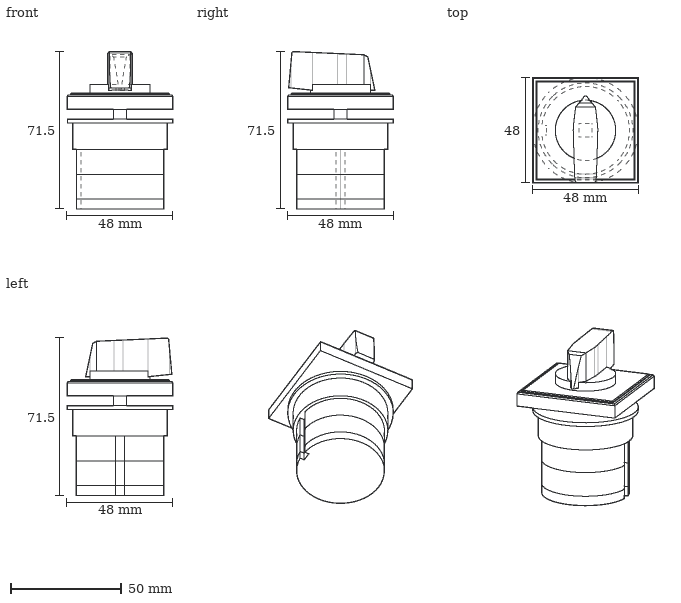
import cadquery as cq
import math

END_STAGE_TOP = 4.5
STAGE_HEIGHT = 11.3
STAGE_COUNT = 2
COLLAR_BOTTOM = END_STAGE_TOP + STAGE_COUNT * STAGE_HEIGHT
COLLAR_TOP = 39.05
FLANGE_TOP = 40.8
FRAME_BOTTOM = 45.3
FRAME_TOP = 51.9
PLATE_TOP = 52.6
DISC_TOP = 56.6
KNOB_TOP = 71.5

STAGE_RADIUS = 19.95
SLOT_WIDTH = 4.3
SLOT_FLOOR_X = -17.7
COLLAR_RADIUS = 21.5
SHAFT_SIDE = 6.1

FRAME_SIDE = 48.0
FRAME_BEVEL_IN = 0.35
FRAME_BEVEL_DOWN = 0.7
PLATE_SIDE = 44.9
PLATE_BEVEL = 0.4

DISC_RADIUS = 13.7
TIP_Y = 16.2
TIP_ROOT_HALF_WIDTH = 1.9
TIP_ROOT_Y = math.sqrt(DISC_RADIUS**2 - TIP_ROOT_HALF_WIDTH**2)
SHOULDER_Y = 10.6
SHOULDER_HALF_WIDTH = 4.5
BULGE_FRONT_Y = 2.65
BULGE_FRONT_HALF_WIDTH = 5.4
BULGE_MIDDLE_Y = 0.0
BULGE_MIDDLE_HALF_WIDTH = 5.6
BULGE_BACK_Y = -1.4
BULGE_BACK_HALF_WIDTH = 5.5
TAIL_START_HALF_WIDTH = 5.2
TAIL_START_Y = -math.sqrt(DISC_RADIUS**2 - TAIL_START_HALF_WIDTH**2)
TAIL_END_Y = -23.8
TAIL_END_HALF_WIDTH = 4.8
TAIL_CORNER_RADIUS = 1.4

POINTER_BOTTOM_Y = 15.65
POINTER_TOP_Y = 12.45
POINTER_TOP_Z = 69.15
CROWN_FRONT_Z = 70.15
CROWN_FLAT_Y = -19.8
BACK_TOP_Y = -22.1
BACK_BOTTOM_Y = -23.6
BACK_BOTTOM_Z = 55.05
KNOB_BOTTOM = 53.9
BACK_EDGE_RADIUS = 0.85


def cylinder(radius, bottom, top):
    return cq.Workplane("XY").workplane(offset=bottom).circle(radius).extrude(top - bottom)


def square_block(side, bottom, top):
    return cq.Workplane("XY").workplane(offset=bottom).rect(side, side).extrude(top - bottom)


def make_stage(bottom, top):
    """Round contact stage with a keying slot down its -X side."""
    slot_depth = STAGE_RADIUS + SLOT_FLOOR_X
    slot = cq.Workplane("XY").box(
        2 * slot_depth, SLOT_WIDTH, top - bottom, centered=(True, True, False)
    )
    slot = slot.translate((-STAGE_RADIUS, 0, bottom))
    return cylinder(STAGE_RADIUS, bottom, top).cut(slot)


def make_frame():
    """Square frame, bevelled around its top edge."""
    frame = square_block(FRAME_SIDE, FRAME_BOTTOM, FRAME_TOP)
    top_edges = frame.faces(">Z").edges()
    return top_edges.chamfer(FRAME_BEVEL_DOWN, FRAME_BEVEL_IN)


def make_label_plate():
    plate = square_block(PLATE_SIDE, FRAME_TOP, PLATE_TOP)
    return plate.faces(">Z").edges().chamfer(PLATE_BEVEL)


def knob_plan():
    """Handle as a prism: pointed at +Y, bulging in the middle, round-cornered at -Y."""
    outline = (
        cq.Workplane("XY")
        .workplane(offset=KNOB_BOTTOM)
        .moveTo(0, TIP_Y)
        .lineTo(TIP_ROOT_HALF_WIDTH, TIP_ROOT_Y)
        .lineTo(SHOULDER_HALF_WIDTH, SHOULDER_Y)
        .lineTo(BULGE_FRONT_HALF_WIDTH, BULGE_FRONT_Y)
        .threePointArc(
            (BULGE_MIDDLE_HALF_WIDTH, BULGE_MIDDLE_Y), (BULGE_BACK_HALF_WIDTH, BULGE_BACK_Y)
        )
        .lineTo(TAIL_START_HALF_WIDTH, TAIL_START_Y)
        .lineTo(TAIL_END_HALF_WIDTH, TAIL_END_Y)
        .lineTo(0, TAIL_END_Y)
        .mirrorY()
    )
    prism = outline.extrude(KNOB_TOP - KNOB_BOTTOM)
    return prism.edges("|Z and <Y").fillet(TAIL_CORNER_RADIUS)


def knob_profile():
    """Side outline of the handle, extruded across its full width."""
    corners = [
        (POINTER_BOTTOM_Y, KNOB_BOTTOM),
        (POINTER_TOP_Y, POINTER_TOP_Z),
        (SHOULDER_Y, CROWN_FRONT_Z),
        (CROWN_FLAT_Y, KNOB_TOP),
        (BACK_TOP_Y, KNOB_TOP),
        (BACK_BOTTOM_Y, BACK_BOTTOM_Z),
        (TAIL_START_Y, KNOB_BOTTOM),
    ]
    slab = cq.Workplane("YZ").polyline(corners).close().extrude(DISC_RADIUS, both=True)
    back_top_edge = slab.faces("<Y").edges(">Z")
    return back_top_edge.fillet(BACK_EDGE_RADIUS)


def make_knob():
    """Handle and the round disc it stands on."""
    handle = knob_plan().intersect(knob_profile())
    return cylinder(DISC_RADIUS, PLATE_TOP, DISC_TOP).union(handle)


end_stage = make_stage(0, END_STAGE_TOP)
stages = []
for index in range(STAGE_COUNT):
    stage_bottom = END_STAGE_TOP + index * STAGE_HEIGHT
    stages.append(make_stage(stage_bottom, stage_bottom + STAGE_HEIGHT))
collar = cylinder(COLLAR_RADIUS, COLLAR_BOTTOM, COLLAR_TOP)
flange = cylinder(FRAME_SIDE / 2, COLLAR_TOP, FLANGE_TOP)
shaft = square_block(SHAFT_SIDE, FLANGE_TOP, FRAME_BOTTOM)
frame = make_frame()
label_plate = make_label_plate()
knob = make_knob()

result = cq.Compound.makeCompound(
    [
        end_stage.val(),
        *[stage.val() for stage in stages],
        collar.val(),
        flange.val(),
        shaft.val(),
        frame.val(),
        label_plate.val(),
        knob.val(),
    ]
)